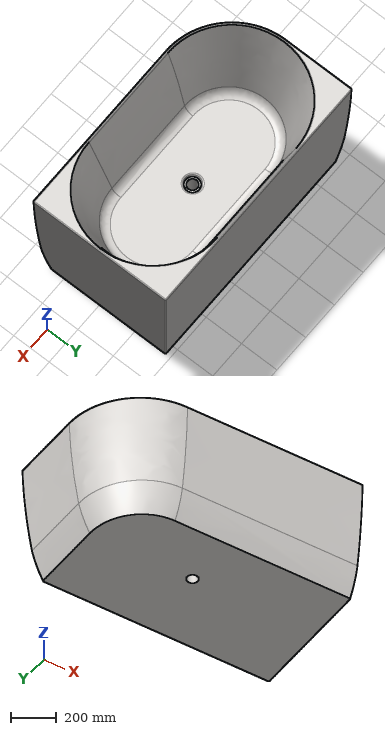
import cadquery as cq

length = 1300.0
width = 750.0
height = 600.0
corner_radius = width / 2

left = -length / 2
right = length / 2
front = -width / 2
back = width / 2
corner_x = left + corner_radius
corner_y = front + corner_radius

rim_level = (height, 0.0, 0.0)
upper_level = (375.0, 16.0, 13.0)
break_level = (150.0, 50.0, 41.0)
lower_level = (75.0, 74.0, 63.0)
base_level = (0.0, 109.0, 100.0)
largest_inset = max(base_level[1:])

side_edge_fillet = 6.0
top_edge_fillet = 5.0

rim_width = 12.0
floor_height = 176.0
floor_level = (floor_height, 242.0, 250.0)
wall_level = (390.0, 298.0, 265.0)
opening_level = (height, width / 2 - rim_width, length / 2 - corner_radius)
floor_fillet = 50.0
rim_fillet = 4.0

outlet_diameter = 55.0
recess_floor_diameter = 76.0
recess_mouth_diameter = 92.0
recess_depth = 15.0
recess_mouth_fillet = 8.0

margin = 1.0


def corner_arc(z, left_radius, front_radius):
    """Quarter circle or ellipse of the rounded corner, from the left side to the front side."""
    centre = cq.Vector(corner_x, corner_y, z)
    up = cq.Vector(0, 0, 1)
    if left_radius == front_radius:
        return cq.Edge.makeCircle(left_radius, centre, up, 180, 270)
    toward_front = cq.Vector(0, -1, 0)
    return cq.Edge.makeEllipse(front_radius, left_radius, centre, up, toward_front, 270, 360)


def skirt_outline(level):
    """Closed horizontal outline of the body at one level."""
    z, left_inset, front_inset = level
    left_x = left + left_inset
    front_y = front + front_inset
    points = [
        cq.Vector(corner_x, front_y, z),
        cq.Vector(right, front_y, z),
        cq.Vector(right, back, z),
        cq.Vector(left_x, back, z),
        cq.Vector(left_x, corner_y, z),
    ]
    sides = [cq.Edge.makeLine(a, b) for a, b in zip(points, points[1:])]
    arc = corner_arc(z, corner_x - left_x, corner_y - front_y)
    return cq.Wire.assembleEdges([arc] + sides)


def loft_levels(levels):
    return cq.Workplane(cq.Solid.makeLoft([skirt_outline(level) for level in levels]))


def round_upright_edge(body, x_range, y_range):
    """Round the corner edge that lies within the given X and Y ranges."""
    low = (x_range[0] - margin, y_range[0] - margin, -margin)
    high = (x_range[1] + margin, y_range[1] + margin, height + margin)
    edges = body.edges(cq.selectors.BoxSelector(low, high, boundingbox=True))
    return edges.fillet(side_edge_fillet)


def make_body():
    lower = loft_levels([break_level, lower_level, base_level])
    upper = loft_levels([rim_level, upper_level, break_level])
    body = lower.union(upper)
    body = round_upright_edge(body, (right, right), (front, front + largest_inset))
    body = round_upright_edge(body, (right, right), (back, back))
    body = round_upright_edge(body, (left, left + largest_inset), (back, back))
    return body.faces(">Z").edges().fillet(top_edge_fillet)


def make_basin():
    """Solid of the basin space, with the floor rounded into the flared wall."""
    basin = cq.Workplane("XY")
    previous_z = 0.0
    for z, end_radius, centre_distance in (floor_level, wall_level, opening_level):
        basin = basin.workplane(offset=z - previous_z)
        basin = basin.slot2D(2 * (centre_distance + end_radius), 2 * end_radius)
        previous_z = z
    return basin.loft().faces("<Z").edges().fillet(floor_fillet)


def round_basin_rim(bath):
    opening = bath.faces(">Z").val().innerWires()[0]
    return bath.newObject(opening.Edges()).fillet(rim_fillet)


def cut_outlet(bath):
    hole = cq.Workplane("XY").circle(outlet_diameter / 2).extrude(floor_height)
    recess = (
        cq.Workplane("XY", origin=(0, 0, floor_height - recess_depth))
        .circle(recess_floor_diameter / 2)
        .workplane(offset=recess_depth)
        .circle(recess_mouth_diameter / 2)
        .loft()
    )
    bath = bath.cut(hole).cut(recess)
    reach = recess_mouth_diameter / 2 + margin
    mouth_box = cq.selectors.BoxSelector(
        (-reach, -reach, floor_height - margin),
        (reach, reach, floor_height + margin),
        boundingbox=True,
    )
    return bath.edges(mouth_box).fillet(recess_mouth_fillet)


bath = make_body().cut(make_basin())
bath = round_basin_rim(bath)
result = cut_outlet(bath)